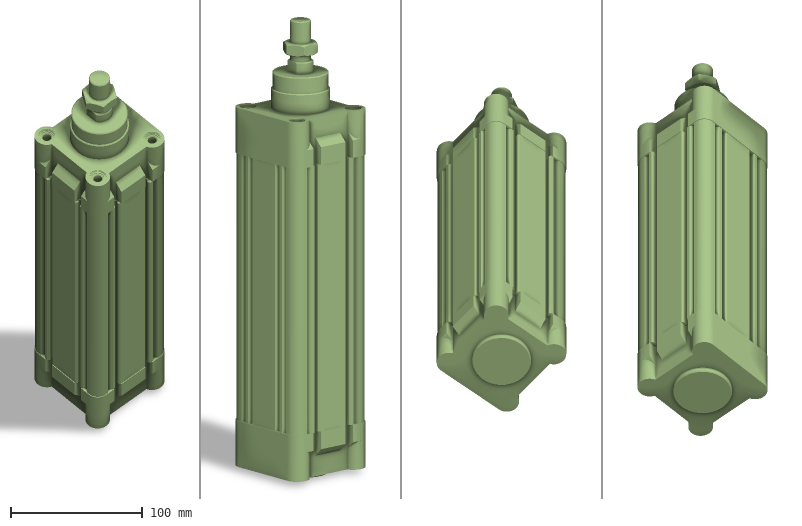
import cadquery as cq
import math


base_spigot_length = 4.0
cap_length = 36.0
tube_bottom = base_spigot_length + cap_length
cap_top = 285.5
tube_top = cap_top - cap_length
collar_step = 301.0
collar_top = 313.5
rod_shoulder = 322.5
rod_top = 354.0
rod_bottom = tube_top

cap_width = 75.5
cap_half = cap_width / 2
recess_half = 31.5
bolt_offset = 28.3
boss_radius = cap_half - bolt_offset
pad_height = 13.8
pad_slope = cap_half - recess_half
pad_half_width = 12.5
side_pad_edge = 20.0
bolt_points = [(x, y) for x in (-bolt_offset, bolt_offset) for y in (-bolt_offset, bolt_offset)]
pad_spans = [(-bolt_offset, -side_pad_edge), (-pad_half_width, pad_half_width), (side_pad_edge, bolt_offset)]
padded_side_angles = (0, 90, -90)

spigot_diameter = 45.0
collar_diameter = 43.0
edge_chamfer = 0.7

head_bore_diameter = 13.0
head_bore_depth = 0.53
socket_diameter = 12.0
socket_depth = 1.0
ring_diameter = 10.0
ring_depth = 1.6
thread_diameter = 8.0
core_diameter = 6.7
core_depth = 14.0
drill_point_angle = 118.0

tube_half = 37.0
tube_corner_radius = tube_half - bolt_offset
slot_floor = 32.2
slot_mouth_inner = 13.8
slot_mouth_outer = 17.5
slot_edge_chamfer = 1.0
slot_undercut = 0.7
slot_lip_thickness = 3.2
groove_depth = 2.0
groove_floor_inner = 23.0
groove_floor_outer = 24.5
groove_mouth_outer = 26.0

rod_diameter = 20.0
rod_flats_width = 17.0
thread_end_diameter = 16.0
nut_width = 24.0
nut_bottom = 327.8
nut_height = 9.0
nut_face_diameter = 23.5
nut_chamfer_angle = 30.0


def cylinder(diameter, bottom, top):
    """Solid cylinder on the Z axis."""
    return cq.Workplane("XY").workplane(offset=bottom).circle(diameter / 2).extrude(top - bottom)


def pad(inner_edge, outer_edge):
    """Pad on the -Y side between two X positions, resting on Z = 0, with a 45 degree sloping end."""
    return (
        cq.Workplane("YZ")
        .workplane(offset=inner_edge)
        .polyline([
            (-recess_half, 0),
            (-cap_half, 0),
            (-cap_half, pad_height),
            (-recess_half, pad_height + pad_slope),
        ])
        .close()
        .extrude(outer_edge - inner_edge)
    )


def end_cap():
    """Cap with its tube side on Z = 0: four bolt bosses, a plain +Y side and pads on the other three."""
    core = cq.Workplane("XY").rect(2 * recess_half, 2 * recess_half).extrude(cap_length)
    back = cq.Workplane("XY").rect(2 * bolt_offset, cap_half, centered=(True, False)).extrude(cap_length)
    bosses = cq.Workplane("XY").pushPoints(bolt_points).circle(boss_radius).extrude(cap_length)
    cap = core.union(back).union(bosses)
    for angle in padded_side_angles:
        for inner_edge, outer_edge in pad_spans:
            cap = cap.union(pad(inner_edge, outer_edge).rotate((0, 0, 0), (0, 0, 1), angle))
    return cap


def bolt_hole_cutter():
    """Stepped bolt hole on the Z axis, measured down from Z = 0, ending in a drill point."""
    head_radius = head_bore_diameter / 2
    ring_radius = ring_diameter / 2
    socket_radius = socket_diameter / 2
    thread_radius = thread_diameter / 2
    core_radius = core_diameter / 2
    countersink_end = ring_depth + thread_radius - core_radius
    point_length = core_radius / math.tan(math.radians(drill_point_angle / 2))
    return (
        cq.Workplane("XZ")
        .polyline([
            (0, 0),
            (head_radius, 0),
            (head_radius, -head_bore_depth),
            (socket_radius, -head_bore_depth),
            (socket_radius, -socket_depth),
            (ring_radius, -socket_depth),
            (ring_radius, -ring_depth),
            (thread_radius, -ring_depth),
            (core_radius, -countersink_end),
            (core_radius, -core_depth),
            (0, -core_depth - point_length),
        ])
        .close()
        .revolve(360, (0, 0, 0), (0, 1, 0))
    )


def slot_cutter(side):
    """Undercut slot and sloping-walled groove of the -Y face, at +X for side = 1 and -X for side = -1."""
    lip_inside = tube_half - slot_lip_thickness
    slot = [
        (slot_mouth_inner - slot_edge_chamfer, -tube_half),
        (slot_mouth_inner, -tube_half + slot_edge_chamfer),
        (slot_mouth_inner, -lip_inside),
        (slot_mouth_inner - slot_undercut, -lip_inside),
        (slot_mouth_inner - slot_undercut, -slot_floor),
        (slot_mouth_outer + slot_undercut, -slot_floor),
        (slot_mouth_outer + slot_undercut, -lip_inside),
        (slot_mouth_outer, -lip_inside),
        (slot_mouth_outer, -tube_half + slot_edge_chamfer),
        (slot_mouth_outer + slot_edge_chamfer, -tube_half),
    ]
    groove = [
        (groove_floor_inner - groove_depth, -tube_half),
        (groove_floor_inner, -tube_half + groove_depth),
        (groove_floor_outer, -tube_half + groove_depth),
        (groove_mouth_outer, -tube_half),
    ]
    cutter = cq.Workplane("XY").workplane(offset=tube_bottom)
    for outline in (slot, groove):
        cutter = cutter.polyline([(side * x, y) for x, y in outline]).close()
    return cutter.extrude(tube_top - tube_bottom)


def profile_tube():
    """Square tube section with rounded corners; all four faces carry the same slots and grooves."""
    tube = (
        cq.Workplane("XY")
        .workplane(offset=tube_bottom)
        .rect(2 * tube_half, 2 * tube_half)
        .extrude(tube_top - tube_bottom)
        .edges("|Z")
        .fillet(tube_corner_radius)
    )
    for angle in (0, 90, 180, 270):
        for side in (1, -1):
            tube = tube.cut(slot_cutter(side).rotate((0, 0, 0), (0, 0, 1), angle))
    return tube


def make_housing():
    """Tube, both end caps, the stepped front collar and the rear spigot as one solid."""
    front_cap = end_cap().translate((0, 0, tube_top))
    rear_cap = end_cap().mirror("XY").translate((0, 0, tube_bottom))
    spigot = cylinder(spigot_diameter, 0, base_spigot_length).faces("<Z").chamfer(edge_chamfer)
    collar_base = cylinder(spigot_diameter, cap_top, collar_step).faces(">Z").chamfer(edge_chamfer)
    collar = cylinder(collar_diameter, collar_step, collar_top).faces(">Z").chamfer(edge_chamfer)
    body = profile_tube()
    for feature in (front_cap, rear_cap, spigot, collar_base, collar):
        body = body.union(feature)
    for x, y in bolt_points:
        body = body.cut(bolt_hole_cutter().translate((x, y, cap_top)))
    return body.cut(cylinder(rod_diameter, rod_bottom, collar_top))


def make_rod():
    """Round rod with two flats facing -Y and +Y, and a thinner threaded end."""
    rod = cylinder(rod_diameter, rod_bottom, rod_shoulder).faces(">Z").chamfer(edge_chamfer)
    flats = (
        cq.Workplane("XY")
        .workplane(offset=collar_top)
        .rect(rod_diameter, rod_flats_width)
        .extrude(rod_shoulder - collar_top)
    )
    rod = rod.intersect(cylinder(rod_diameter, rod_bottom, collar_top).union(flats))
    thread_end = cylinder(thread_end_diameter, rod_shoulder, rod_top).faces(">Z").chamfer(edge_chamfer)
    return rod.union(thread_end)


def make_nut():
    """Hexagon nut with flats facing -X and +X and conical chamfers on both ends."""
    corner_diameter = nut_width / math.cos(math.radians(30))
    corner_radius = corner_diameter / 2
    face_radius = nut_face_diameter / 2
    chamfer_drop = (corner_radius - face_radius) * math.tan(math.radians(nut_chamfer_angle))
    nut = cq.Workplane("XY").polygon(6, corner_diameter).extrude(nut_height)
    nut = nut.rotate((0, 0, 0), (0, 0, 1), 30)
    blank = (
        cq.Workplane("XZ")
        .polyline([
            (0, 0),
            (face_radius, 0),
            (corner_radius, chamfer_drop),
            (corner_radius, nut_height - chamfer_drop),
            (face_radius, nut_height),
            (0, nut_height),
        ])
        .close()
        .revolve(360, (0, 0, 0), (0, 1, 0))
    )
    nut = nut.intersect(blank).translate((0, 0, nut_bottom))
    return nut.cut(cylinder(thread_end_diameter, rod_shoulder, rod_top))


housing = make_housing()
rod = make_rod()
nut = make_nut()

result = cq.Compound.makeCompound([housing.val(), rod.val(), nut.val()])